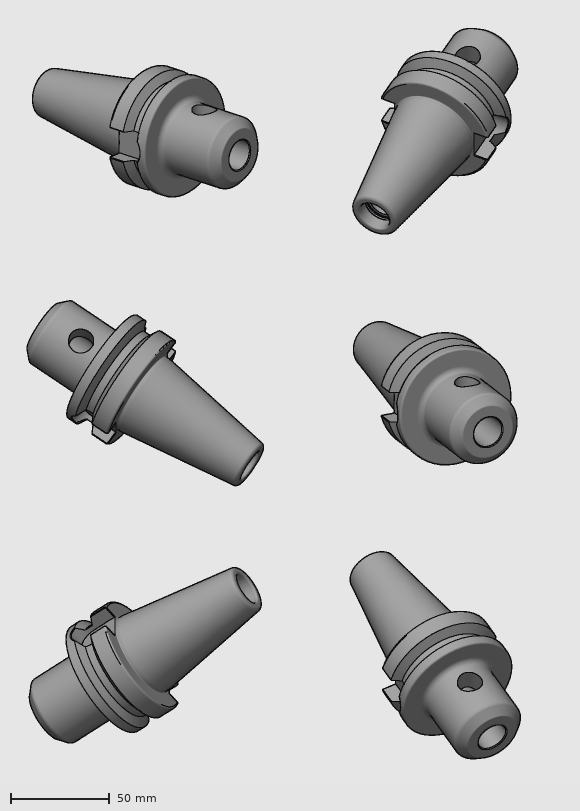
import cadquery as cq
import math


GAUGE_DIAMETER = 44.45
TAPER_LENGTH = 65.4
TAPER_RATIO = 7 / 24
TAPER_END_FILLET = 2.0
COLLAR_LENGTH = 2.0
COLLAR_FILLET = 0.35

FLANGE_DIAMETER = 63.0
FLANGE_FRONT_X = 27.0
FLANGE_EDGE_FILLET = 1.0
GROOVE_DIAMETER = 53.3
GROOVE_CENTER_X = 16.5
GROOVE_FLOOR_WIDTH = 4.2
GROOVE_WALL_ANGLE = 30.0
GROOVE_DEPTH = (FLANGE_DIAMETER - GROOVE_DIAMETER) / 2
GROOVE_MOUTH_WIDTH = GROOVE_FLOOR_WIDTH + 2 * GROOVE_DEPTH * math.tan(math.radians(GROOVE_WALL_ANGLE))

SLOT_WIDTH = 16.1
SLOT_FLOOR_RADIUS = 22.6
SLOT_END_X = 23.4
SLOT_EDGE_CHAMFER = 0.4

NOSE_DIAMETER = 38.1
NOSE_END_X = 63.5
NOSE_ROOT_FILLET = 3.0
NOSE_CHAMFER = 4.9
NOSE_SHOULDER_FILLET = 2.2
NOSE_TIP_FILLET = 0.8

PILOT_DIAMETER = 17.0
PILOT_DEPTH = 9.4
PILOT_MOUTH_FILLET = 1.0
RELIEF_DIAMETER = 17.5
RELIEF_START = 7.25
RELIEF_WIDTH = 1.4
THREAD_DIAMETER = 13.84
TOOL_BORE_DIAMETER = 15.88
TOOL_BORE_DEPTH = 50.0
TOOL_BORE_CHAMFER = 0.5

SCREW_HOLE_DIAMETER = 12.75
SCREW_HOLE_SETBACK = 23.8

TAPER_END_X = -TAPER_LENGTH


def circle_edge(x, radius):
    """Selector box around the circular edge at axial place x with the given radius."""
    margin = 0.01
    reach = radius + margin
    return cq.selectors.BoxSelector((x - margin, -reach, -reach), (x + margin, reach, reach), boundingbox=True)


def x_cylinder(diameter, start_x, end_x):
    """Cylinder on the X axis from start_x to end_x."""
    return cq.Workplane("YZ", origin=(start_x, 0, 0)).circle(diameter / 2).extrude(end_x - start_x)


def make_body():
    """Taper, collar, grooved flange and nose turned about the X axis."""
    gauge_radius = GAUGE_DIAMETER / 2
    taper_end_radius = gauge_radius - TAPER_LENGTH * TAPER_RATIO / 2
    flange_radius = FLANGE_DIAMETER / 2
    groove_radius = GROOVE_DIAMETER / 2
    nose_radius = NOSE_DIAMETER / 2
    floor_half = GROOVE_FLOOR_WIDTH / 2
    mouth_half = GROOVE_MOUTH_WIDTH / 2
    shoulder_x = NOSE_END_X - NOSE_CHAMFER
    tip_radius = nose_radius - NOSE_CHAMFER

    body = (
        cq.Workplane("XY")
        .moveTo(TAPER_END_X, 0)
        .lineTo(TAPER_END_X, taper_end_radius)
        .lineTo(0, gauge_radius)
        .lineTo(COLLAR_LENGTH, gauge_radius)
        .lineTo(COLLAR_LENGTH, flange_radius)
        .lineTo(GROOVE_CENTER_X - mouth_half, flange_radius)
        .lineTo(GROOVE_CENTER_X - floor_half, groove_radius)
        .lineTo(GROOVE_CENTER_X + floor_half, groove_radius)
        .lineTo(GROOVE_CENTER_X + mouth_half, flange_radius)
        .lineTo(FLANGE_FRONT_X, flange_radius)
        .lineTo(FLANGE_FRONT_X, nose_radius)
        .lineTo(shoulder_x, nose_radius)
        .lineTo(NOSE_END_X, tip_radius)
        .lineTo(NOSE_END_X, 0)
        .close()
        .revolve(360, (0, 0, 0), (1, 0, 0))
    )

    rounded_edges = [
        (TAPER_END_X, taper_end_radius, TAPER_END_FILLET),
        (COLLAR_LENGTH, gauge_radius, COLLAR_FILLET),
        (COLLAR_LENGTH, flange_radius, FLANGE_EDGE_FILLET),
        (FLANGE_FRONT_X, nose_radius, NOSE_ROOT_FILLET),
        (FLANGE_FRONT_X, flange_radius, FLANGE_EDGE_FILLET),
        (shoulder_x, nose_radius, NOSE_SHOULDER_FILLET),
        (NOSE_END_X, tip_radius, NOSE_TIP_FILLET),
    ]
    for x, radius, fillet in rounded_edges:
        body = body.edges(circle_edge(x, radius)).fillet(fillet)
    return body


def cut_drive_slots(body):
    """Two opposed flat-floored slots, open at the rear face and round at the front end."""
    arc_center_x = SLOT_END_X - SLOT_WIDTH / 2
    depth = FLANGE_DIAMETER / 2 - SLOT_FLOOR_RADIUS
    middle_y = SLOT_FLOOR_RADIUS + depth / 2
    for side in (-1, 1):
        straight = cq.Workplane("XY").box(arc_center_x, depth, SLOT_WIDTH)
        straight = straight.translate((arc_center_x / 2, side * middle_y, 0))
        round_end = cq.Workplane("XZ").circle(SLOT_WIDTH / 2).extrude(depth / 2, both=True)
        round_end = round_end.translate((arc_center_x, side * middle_y, 0))
        body = body.cut(straight).cut(round_end)
    return body


def break_slot_edges(body):
    """Chamfer the slot edges on the rear face and rim, and around the round end on the front rim."""
    margin = 0.05
    rear_wall_end_x = GROOVE_CENTER_X - GROOVE_MOUTH_WIDTH / 2 + margin
    front_lip_x = GROOVE_CENTER_X + GROOVE_MOUTH_WIDTH / 2 - margin
    near_y = SLOT_FLOOR_RADIUS + margin
    rim_y = FLANGE_DIAMETER / 2 + margin
    half_width = SLOT_WIDTH / 2
    for side in (-1, 1):
        zones = [
            (
                (COLLAR_LENGTH - margin, side * near_y, wall * half_width - margin),
                (rear_wall_end_x, side * rim_y, wall * half_width + margin),
            )
            for wall in (-1, 1)
        ]
        zones.append(
            (
                (front_lip_x, side * near_y, -half_width),
                (SLOT_END_X + margin, side * rim_y, half_width),
            )
        )
        for corner, opposite in zones:
            body = body.edges(cq.selectors.BoxSelector(corner, opposite)).chamfer(SLOT_EDGE_CHAMFER)
    return body


def cut_bores(body):
    """Stepped pull-stud bore, thread core hole right through, and tool bore from the nose."""
    body = body.cut(x_cylinder(THREAD_DIAMETER, TAPER_END_X, NOSE_END_X))
    body = body.cut(x_cylinder(PILOT_DIAMETER, TAPER_END_X, TAPER_END_X + PILOT_DEPTH))
    relief_x = TAPER_END_X + RELIEF_START
    body = body.cut(x_cylinder(RELIEF_DIAMETER, relief_x, relief_x + RELIEF_WIDTH))
    body = body.cut(x_cylinder(TOOL_BORE_DIAMETER, NOSE_END_X - TOOL_BORE_DEPTH, NOSE_END_X))
    body = body.edges(circle_edge(TAPER_END_X, PILOT_DIAMETER / 2)).fillet(PILOT_MOUTH_FILLET)
    return body.edges(circle_edge(NOSE_END_X, TOOL_BORE_DIAMETER / 2)).chamfer(TOOL_BORE_CHAMFER)


def cut_screw_hole(body):
    """Radial side-lock screw hole from the +Z side into the tool bore."""
    hole = (
        cq.Workplane("XY", origin=(NOSE_END_X - SCREW_HOLE_SETBACK, 0, 0))
        .circle(SCREW_HOLE_DIAMETER / 2)
        .extrude(NOSE_DIAMETER)
    )
    return body.cut(hole)


body_with_slots = break_slot_edges(cut_drive_slots(make_body()))
result = cut_screw_hole(cut_bores(body_with_slots))